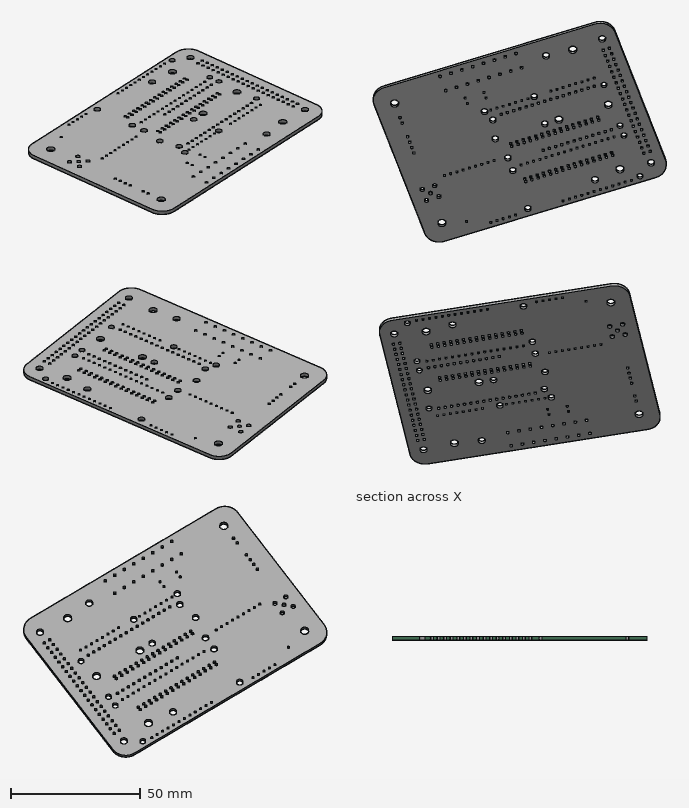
import cadquery as cq

BOARD_WIDTH = 72.0
BOARD_LENGTH = 98.8
BOARD_THICKNESS = 1.6
CORNER_RADIUS = 6.0

HEADER_COUNT = 20
HEADER_SPAN = 48.3
PITCH = HEADER_SPAN / (HEADER_COUNT - 1)

FINE_PIN = 0.76
SMALL_PIN = 0.8
PIN = 1.0
TERMINAL_PIN = 1.1
COAX_CENTER_PIN = 1.5
COAX_GROUND_PIN = 1.7

SOCKET_TOP_MOUNT = 2.3
SOCKET_BOTTOM_MOUNT = 2.6
SQUARE_MODULE_MOUNT = 2.6
HEADER_MOUNT = 2.8
NARROW_MODULE_MOUNT = 3.1
BOARD_MOUNT = 3.2

BOARD_MOUNT_SPACING = 56.0
BOARD_MOUNT_ROWS = (31.4, -41.6)

HEADER_CENTER_X = -0.2
HEADER_TOP_Y = 45.0
HEADER_MOUNT_SPACING = 58.1
HEADER_MOUNT_ROWS = (43.8, 20.7)

LEFT_SOCKET_X = -23.9
SOCKET_SPACING = 23.7
RIGHT_SOCKET_X = LEFT_SOCKET_X + SOCKET_SPACING
SOCKET_COLUMN_SPACING = 8 * PITCH
SOCKET_TOP_PIN_Y = 34.0
SOCKET_LEFT_COUNT = 12
SOCKET_RIGHT_COUNT = 16
SOCKET_TOP_MOUNT_SPACING = 19.1
SOCKET_TOP_MOUNT_Y = 37.7
SOCKET_BOTTOM_MOUNT_SPACING = 17.8
SOCKET_BOTTOM_MOUNT_Y = -8.0

DUAL_CENTER_X = -12.3
DUAL_TOP_Y = 30.7
DUAL_COUNT = 15
DUAL_SPACINGS = (6 * PITCH, 7 * PITCH)

MODULE_MOUNT_X = 0.5
NARROW_PIN_X = 13.4
NARROW_TOP_PIN_Y = 35.2
NARROW_COUNT = 8
NARROW_MOUNT_ROWS = (36.4, 16.2)
SQUARE_PIN_X = 13.1
SQUARE_TOP_PIN_Y = 7.9
SQUARE_COUNT = 7
SQUARE_MOUNT_SPACING = 12.7
SQUARE_MOUNT_ROWS = (10.5, -9.9)

TERMINAL_COLUMNS = (27.0, 33.6)
TERMINAL_TOP_Y = 10.1
TERMINAL_COUNT = 8
TERMINAL_PITCH = 4.4
TWO_PIN_COUNT = 2
TWO_PIN_LEFT_X = 18.8
TWO_PIN_ROWS = (-7.3, -15.0)

LOWER_MODULE_LEFT_X = -34.0
LOWER_MODULE_RIGHT_X = -8.5
LOWER_MODULE_TOP_Y = -13.4
LOWER_MODULE_LEFT_COUNT = 5
LOWER_MODULE_RIGHT_COUNT = 9
LONE_PIN = (-30.5, -32.3)

COAX_X = -14.0
COAX_Y = -41.4
COAX_GROUND_SPACING = 2 * PITCH

BOTTOM_ROW_Y = -41.7
FOUR_PIN_COUNT = 4
FOUR_PIN_LEFT_X = 4.8
BOTTOM_TWO_PIN_LEFT_X = 18.9


def column(x, top_y, count, pitch=PITCH):
    """Points running down from top_y."""
    return [(x, top_y - i * pitch) for i in range(count)]


def row(left_x, y, count):
    """Points running right from left_x."""
    return [(left_x + i * PITCH, y) for i in range(count)]


def mirrored_pair(center_x, spacing, y):
    """Two points at equal distances left and right of center_x."""
    return [(center_x - spacing / 2, y), (center_x + spacing / 2, y)]


def drill(board, points, diameter):
    """Cut round holes through the whole board."""
    drills = cq.Workplane("XY").pushPoints(points).circle(diameter / 2).extrude(BOARD_THICKNESS)
    return board.cut(drills)


def make_board():
    """Plain board with rounded corners."""
    blank = cq.Workplane("XY").box(
        BOARD_WIDTH, BOARD_LENGTH, BOARD_THICKNESS, centered=(True, True, False)
    )
    return blank.edges("|Z").fillet(CORNER_RADIUS)


def drill_board_mounts(board):
    for y in BOARD_MOUNT_ROWS:
        board = drill(board, mirrored_pair(0, BOARD_MOUNT_SPACING, y), BOARD_MOUNT)
    return board


def drill_header(board):
    for y in HEADER_MOUNT_ROWS:
        board = drill(board, mirrored_pair(HEADER_CENTER_X, HEADER_MOUNT_SPACING, y), HEADER_MOUNT)
    left_x = HEADER_CENTER_X - HEADER_SPAN / 2
    for y in (HEADER_TOP_Y, HEADER_TOP_Y - PITCH):
        board = drill(board, row(left_x, y, HEADER_COUNT), PIN)
    return board


def drill_controller_socket(board, center_x, pin_diameter):
    (left_x, top_y), (right_x, _) = mirrored_pair(center_x, SOCKET_COLUMN_SPACING, SOCKET_TOP_PIN_Y)
    board = drill(board, column(left_x, top_y, SOCKET_LEFT_COUNT), pin_diameter)
    board = drill(board, column(right_x, top_y, SOCKET_RIGHT_COUNT), pin_diameter)
    top_mounts = mirrored_pair(center_x, SOCKET_TOP_MOUNT_SPACING, SOCKET_TOP_MOUNT_Y)
    bottom_mounts = mirrored_pair(center_x, SOCKET_BOTTOM_MOUNT_SPACING, SOCKET_BOTTOM_MOUNT_Y)
    board = drill(board, top_mounts, SOCKET_TOP_MOUNT)
    return drill(board, bottom_mounts, SOCKET_BOTTOM_MOUNT)


def drill_dual_socket(board):
    for spacing in DUAL_SPACINGS:
        for x, y in mirrored_pair(DUAL_CENTER_X, spacing, DUAL_TOP_Y):
            board = drill(board, column(x, y, DUAL_COUNT), PIN)
    return board


def drill_narrow_module(board):
    board = drill(board, column(NARROW_PIN_X, NARROW_TOP_PIN_Y, NARROW_COUNT), SMALL_PIN)
    mounts = [(MODULE_MOUNT_X, y) for y in NARROW_MOUNT_ROWS]
    return drill(board, mounts, NARROW_MODULE_MOUNT)


def drill_square_module(board):
    board = drill(board, column(SQUARE_PIN_X, SQUARE_TOP_PIN_Y, SQUARE_COUNT), FINE_PIN)
    right_x = MODULE_MOUNT_X + SQUARE_MOUNT_SPACING
    mounts = [(x, y) for x in (MODULE_MOUNT_X, right_x) for y in SQUARE_MOUNT_ROWS]
    return drill(board, mounts, SQUARE_MODULE_MOUNT)


def drill_terminals(board):
    for x in TERMINAL_COLUMNS:
        pins = column(x, TERMINAL_TOP_Y, TERMINAL_COUNT, TERMINAL_PITCH)
        board = drill(board, pins, TERMINAL_PIN)
    for y in TWO_PIN_ROWS:
        board = drill(board, row(TWO_PIN_LEFT_X, y, TWO_PIN_COUNT), SMALL_PIN)
    return board


def drill_lower_module(board):
    pins = column(LOWER_MODULE_LEFT_X, LOWER_MODULE_TOP_Y, LOWER_MODULE_LEFT_COUNT)
    pins += column(LOWER_MODULE_RIGHT_X, LOWER_MODULE_TOP_Y, LOWER_MODULE_RIGHT_COUNT)
    pins.append(LONE_PIN)
    return drill(board, pins, SMALL_PIN)


def drill_coax(board):
    board = drill(board, [(COAX_X, COAX_Y)], COAX_CENTER_PIN)
    for y in (COAX_Y + COAX_GROUND_SPACING / 2, COAX_Y - COAX_GROUND_SPACING / 2):
        board = drill(board, mirrored_pair(COAX_X, COAX_GROUND_SPACING, y), COAX_GROUND_PIN)
    return board


def drill_bottom_rows(board):
    board = drill(board, row(FOUR_PIN_LEFT_X, BOTTOM_ROW_Y, FOUR_PIN_COUNT), PIN)
    return drill(board, row(BOTTOM_TWO_PIN_LEFT_X, BOTTOM_ROW_Y, TWO_PIN_COUNT), PIN)


result = make_board()
result = drill_board_mounts(result)
result = drill_header(result)
result = drill_controller_socket(result, LEFT_SOCKET_X, SMALL_PIN)
result = drill_controller_socket(result, RIGHT_SOCKET_X, PIN)
result = drill_dual_socket(result)
result = drill_narrow_module(result)
result = drill_square_module(result)
result = drill_terminals(result)
result = drill_lower_module(result)
result = drill_coax(result)
result = drill_bottom_rows(result)